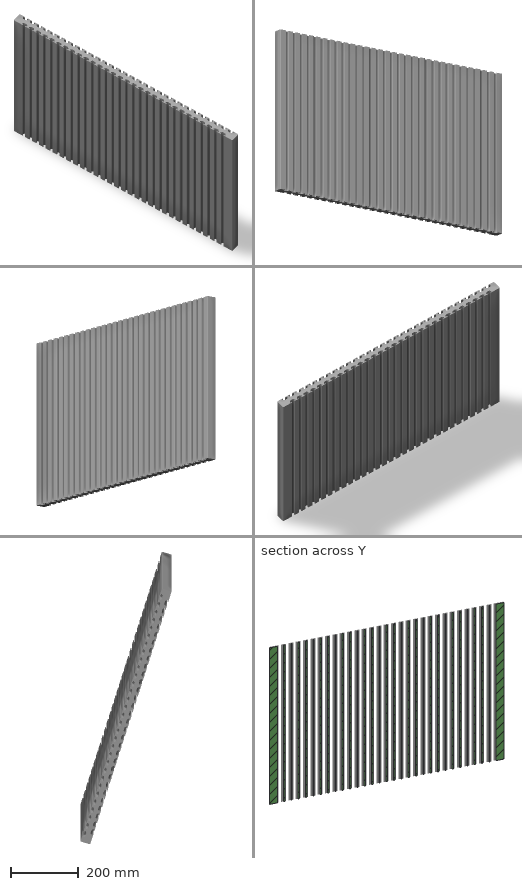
import cadquery as cq

LENGTH = 800.0
THICKNESS = 30.0
HEIGHT = 490.0
CORNER_RADIUS = 2.0

SLOT_PITCH = 25.0
OPENING_WIDTH = 9.0
OPENING_CHAMFER = 0.5
INNER_WIDTH = 18.75
FLOOR_WIDTH = 10.5
LIP_THICKNESS = 2.5
WALL_DEPTH = 4.6
SLOT_DEPTH = 9.25

FRONT_SLOT_COUNT = 30
BACK_SLOT_COUNT = FRONT_SLOT_COUNT + 1


def make_plate():
    """Rectangular plate, centred on the origin, with rounded upright edges."""
    plate = cq.Workplane("XY").box(LENGTH, THICKNESS, HEIGHT)
    return plate.edges("|Z").fillet(CORNER_RADIUS)


def slot_centres(count):
    """X positions of a row of slots centred on the plate."""
    first = -(count - 1) * SLOT_PITCH / 2
    return [first + index * SLOT_PITCH for index in range(count)]


def make_slot(centre_x, side):
    """Full-height T-slot cutter; side is -1 for the front (-Y) face, +1 for the back (+Y) face."""
    half_section = [
        (OPENING_WIDTH / 2 + OPENING_CHAMFER, 0),
        (OPENING_WIDTH / 2, OPENING_CHAMFER),
        (OPENING_WIDTH / 2, LIP_THICKNESS),
        (INNER_WIDTH / 2, LIP_THICKNESS),
        (INNER_WIDTH / 2, WALL_DEPTH),
        (FLOOR_WIDTH / 2, SLOT_DEPTH),
    ]
    mirrored_half = [(-x, depth) for x, depth in reversed(half_section)]
    outline = [
        (centre_x + x, side * (THICKNESS / 2 - depth))
        for x, depth in half_section + mirrored_half
    ]
    slot = cq.Workplane("XY").polyline(outline).close().extrude(HEIGHT / 2, both=True)
    return slot.val()


def make_slotted_plate():
    """Plate with a row of T-slots in each of its two large faces."""
    front_slots = [make_slot(x, -1) for x in slot_centres(FRONT_SLOT_COUNT)]
    back_slots = [make_slot(x, 1) for x in slot_centres(BACK_SLOT_COUNT)]
    slots = cq.Compound.makeCompound(front_slots + back_slots)
    return make_plate().cut(cq.Workplane(obj=slots))


result = make_slotted_plate()